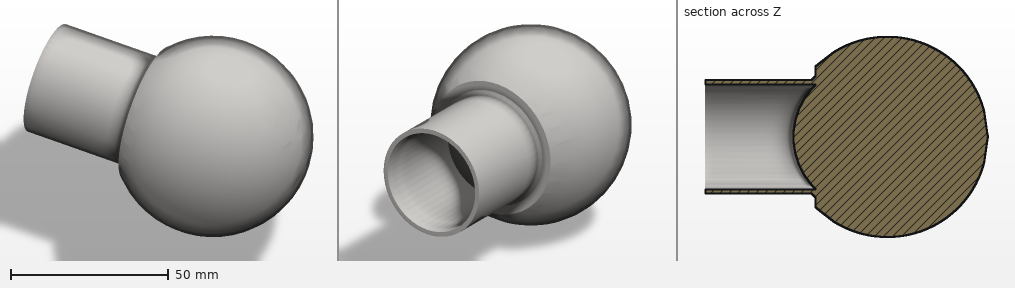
import cadquery as cq
import math

total_length = 89.8
ball_radius = 64.0 / 2
ball_center_x = total_length - ball_radius
seat_x = 34.9

tube_radius = 36.3 / 2
bore_radius = 33.2 / 2
collar_width = 1.3

dome_radius = 23.1
dome_center_x = seat_x + math.sqrt(dome_radius**2 - bore_radius**2)


def sphere_on_axis(radius, center_x):
    return cq.Workplane("XY").sphere(radius).translate((center_x, 0, 0))


def cylinder_on_axis(radius, start_x, end_x):
    return cq.Workplane("YZ", origin=(start_x, 0, 0)).circle(radius).extrude(end_x - start_x)


def truncated_ball():
    kept_side = cylinder_on_axis(ball_radius, seat_x, total_length)
    return sphere_on_axis(ball_radius, ball_center_x).intersect(kept_side)


def neck_with_collar():
    """Revolve the solid neck and its conical collar about the X axis."""
    return (
        cq.Workplane("XY")
        .lineTo(0, tube_radius)
        .lineTo(seat_x - collar_width, tube_radius)
        .lineTo(seat_x, tube_radius + collar_width)
        .lineTo(seat_x, 0)
        .close()
        .revolve(360, (0, 0, 0), (1, 0, 0))
    )


def domed_bore():
    hole = cylinder_on_axis(bore_radius, 0, seat_x)
    return hole.cut(sphere_on_axis(dome_radius, dome_center_x))


result = truncated_ball().union(neck_with_collar()).cut(domed_bore())